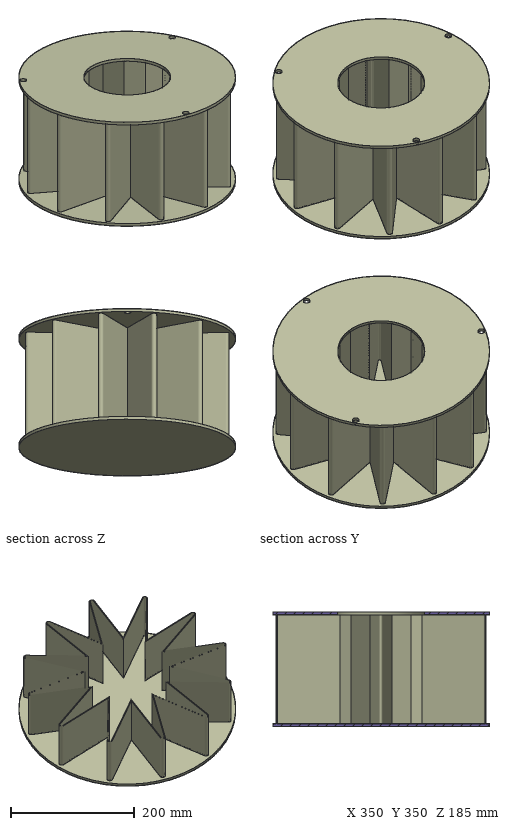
import cadquery as cq
import math

plate_diameter = 350
plate_thickness = 5.0
total_height = 185.0
opening_diameter = 140

rim_hole_diameter = 10.5
rim_hole_circle_radius = 168
rim_hole_count = 3
first_rim_hole_angle = 15

fin_count = 12
sheet_thickness = 2.0
fin_tip_reach = 169.8
fin_tip_radius = 4.5
outer_valley_radius = 74.0

wall_height = total_height - 2 * plate_thickness
fin_pitch = 360 / fin_count
half_pitch = math.radians(fin_pitch / 2)
tip_centre_radius = fin_tip_reach - fin_tip_radius

flank_run = tip_centre_radius - outer_valley_radius * math.cos(half_pitch)
flank_rise = outer_valley_radius * math.sin(half_pitch)
half_taper = math.atan2(flank_rise, flank_run) - math.asin(
    fin_tip_radius / math.hypot(flank_run, flank_rise)
)

inner_valley_radius = outer_valley_radius - sheet_thickness / math.sin(half_pitch + half_taper)


def polar(radius, angle):
    """Point at a radius and an angle in degrees about the drum axis."""
    return (radius * math.cos(math.radians(angle)), radius * math.sin(math.radians(angle)))


def disc():
    return cq.Workplane("XY").circle(plate_diameter / 2).extrude(plate_thickness)


def bottom_plate():
    return disc()


def top_plate():
    hole_angles = [first_rim_hole_angle + i * 360 / rim_hole_count for i in range(rim_hole_count)]
    return (
        disc()
        .faces(">Z").workplane()
        .hole(opening_diameter)
        .pushPoints([polar(rim_hole_circle_radius, angle) for angle in hole_angles])
        .hole(rim_hole_diameter)
        .translate((0, 0, total_height - plate_thickness))
    )


def star_prism(valley_radius, tip_radius):
    """Prism with one round-tipped point per fin and sharp valleys between them."""
    tangent_x = tip_centre_radius + tip_radius * math.sin(half_taper)
    tangent_y = tip_radius * math.cos(half_taper)
    tangent_radius = math.hypot(tangent_x, tangent_y)
    tangent_angle = math.degrees(math.atan2(tangent_y, tangent_x))

    outline = cq.Workplane("XY").moveTo(*polar(valley_radius, -fin_pitch / 2))
    for i in range(fin_count):
        fin_angle = i * fin_pitch
        outline = (
            outline
            .lineTo(*polar(tangent_radius, fin_angle - tangent_angle))
            .threePointArc(
                polar(tip_centre_radius + tip_radius, fin_angle),
                polar(tangent_radius, fin_angle + tangent_angle),
            )
        )
        if i < fin_count - 1:
            outline = outline.lineTo(*polar(valley_radius, fin_angle + fin_pitch / 2))
    return outline.close().extrude(wall_height)


def pleated_wall():
    outside = star_prism(outer_valley_radius, fin_tip_radius)
    inside = star_prism(inner_valley_radius, fin_tip_radius - sheet_thickness)
    return outside.cut(inside).translate((0, 0, plate_thickness))


result = bottom_plate().union(pleated_wall()).union(top_plate())